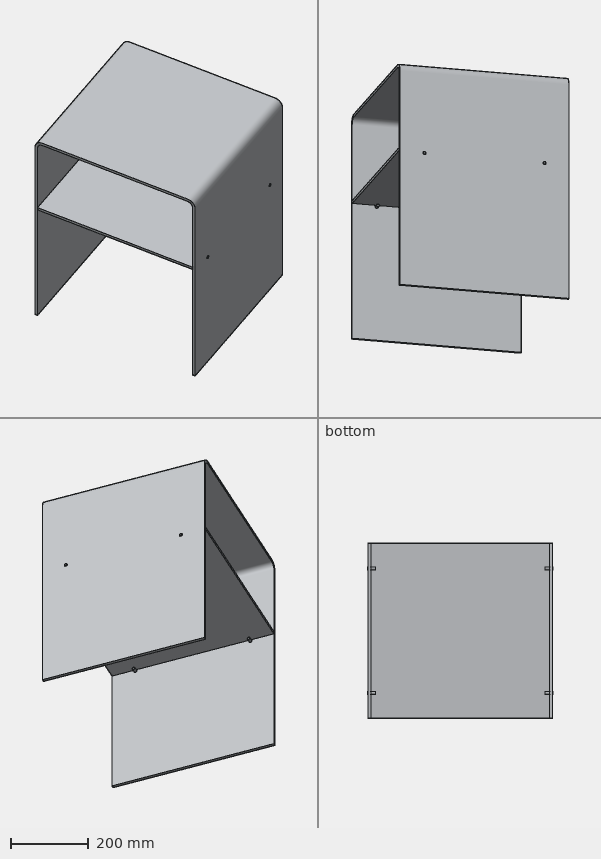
import cadquery as cq

frame_height = 600.0
frame_depth = 450.0
overall_width = 477.0
sheet_thickness = 8.0
inner_bend_radius = 15.0

pin_diameter = 8.0
pin_end_chamfer = 0.5
pin_outer_projection = 1.0
pin_inner_projection = 12.5
pin_spacing = 320.0
pin_axis_height = 360.0

frame_width = overall_width - 2 * pin_outer_projection
inner_width = frame_width - 2 * sheet_thickness
outer_bend_radius = inner_bend_radius + sheet_thickness
pin_length = pin_outer_projection + sheet_thickness + pin_inner_projection
shelf_bottom_height = pin_axis_height + pin_diameter / 2


def make_pin(side, y):
    """Round pin with chamfered ends, through one leg; side is -1 for the -X leg and +1 for the +X leg."""
    outer_end = cq.Vector(side * overall_width / 2, y, pin_axis_height)
    inward = cq.Vector(-side, 0, 0)
    pin = cq.Solid.makeCylinder(pin_diameter / 2, pin_length, outer_end, inward)
    return cq.Workplane(pin).faces("|X").edges().chamfer(pin_end_chamfer).val()


def make_frame(pins):
    """Bent sheet: two legs and a top, with a matching hole for each pin."""
    outer = (
        cq.Workplane("XY")
        .box(frame_width, frame_depth, frame_height, centered=(True, True, False))
        .edges("|Y and >Z")
        .fillet(outer_bend_radius)
    )
    opening = (
        cq.Workplane("XY")
        .box(inner_width, frame_depth, frame_height - sheet_thickness, centered=(True, True, False))
        .edges("|Y and >Z")
        .fillet(inner_bend_radius)
    )
    frame = outer.cut(opening)
    for pin in pins:
        frame = frame.cut(pin)
    return frame


def make_shelf():
    """Flat shelf fitted between the legs and resting on the pins."""
    return (
        cq.Workplane("XY")
        .workplane(offset=shelf_bottom_height)
        .box(inner_width, frame_depth, sheet_thickness, centered=(True, True, False))
    )


pins = []
for side in (-1, 1):
    for y in (-pin_spacing / 2, pin_spacing / 2):
        pins.append(make_pin(side, y))

frame = make_frame(pins)
shelf = make_shelf()

result = cq.Compound.makeCompound([frame.val(), shelf.val(), *pins])